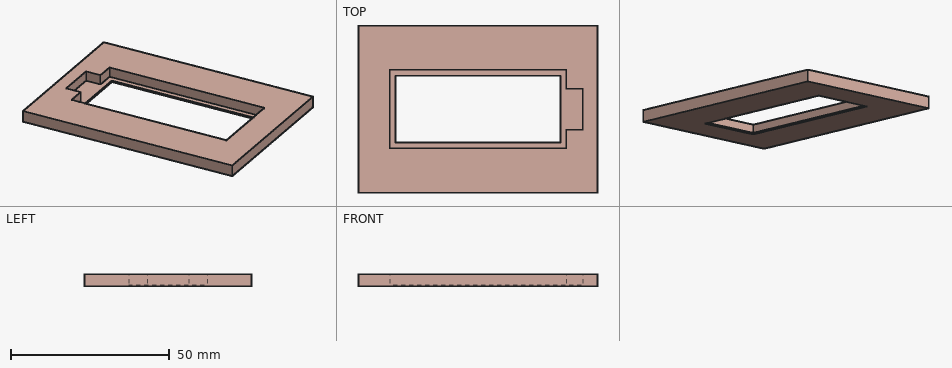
import cadquery as cq

plate_length = 75.2
plate_width = 52.55
plate_thickness = 3.8

window_length = 51.9
window_width = 20.9
ledge_width = 1.9
ledge_thickness = 0.5
recess_length = window_length + 2 * ledge_width
recess_width = window_width + 2 * ledge_width

notch_length = 5.2
notch_width = 12.9


def upright_box(length, width, bottom, top, center_x=0.0):
    """Box centred on the X axis, spanning bottom to top in Z."""
    box = cq.Workplane("XY").box(length, width, top - bottom, centered=(True, True, False))
    return box.translate((center_x, 0, bottom))


plate_top = plate_thickness / 2
plate_bottom = -plate_top
recess_floor = plate_bottom + ledge_thickness

plate = upright_box(plate_length, plate_width, plate_bottom, plate_top)
window = upright_box(window_length, window_width, plate_bottom, plate_top)
recess = upright_box(recess_length, recess_width, recess_floor, plate_top)
notch_center_x = (recess_length + notch_length) / 2
notch = upright_box(notch_length, notch_width, recess_floor, plate_top, notch_center_x)

result = plate.cut(window).cut(recess).cut(notch)